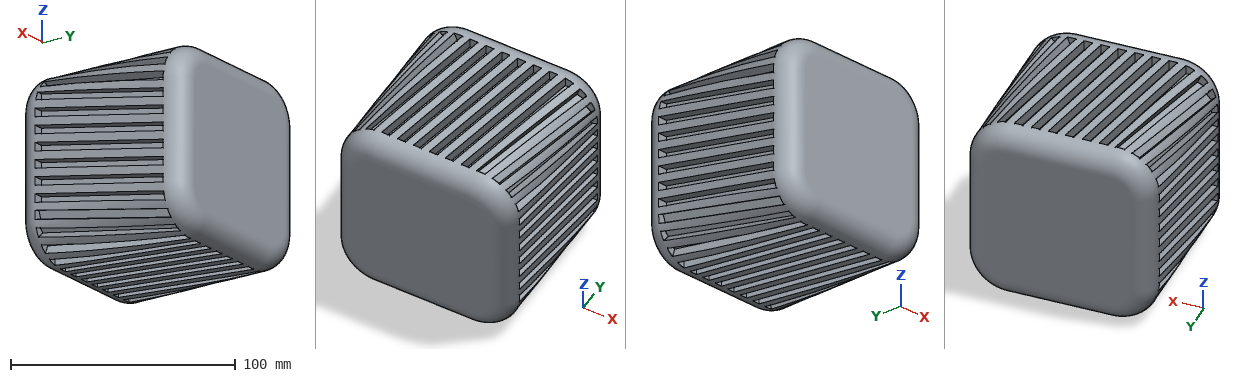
import cadquery as cq
import math

side = 90.0
corner_radius = 20.0
edge_fillet = 10.0

slot_count = 40
slot_depth = edge_fillet / 2
slot_angle = 10.9
clearance = 1.8

half_side = side / 2
flat_half = half_side - corner_radius
flat_length = 2 * flat_half
corner_arc = corner_radius * math.pi / 2
quarter_length = flat_length + corner_arc
slots_per_quarter = slot_count // 4
slot_pitch = quarter_length / slots_per_quarter
slot_run_width = slot_pitch / 2
slot_half_length = half_side - edge_fillet


def make_body():
    """Square bar along Y with rounded corners and filleted ends."""
    body = cq.Workplane("XY").box(side, side, side)
    body = body.edges("|Y").fillet(corner_radius)
    return body.faces("<Y or >Y").edges().fillet(edge_fillet)


def make_slot_cutter():
    """Slanted cutter centred on the top face, with its ends square to Y."""
    shift = slot_half_length * math.tan(math.radians(slot_angle))
    half_width = slot_run_width / 2
    outline = [
        (shift - half_width, slot_half_length),
        (shift + half_width, slot_half_length),
        (-shift + half_width, -slot_half_length),
        (-shift - half_width, -slot_half_length),
    ]
    return (
        cq.Workplane("XY", origin=(0, 0, half_side - slot_depth))
        .polyline(outline)
        .close()
        .extrude(slot_depth + clearance)
    )


def place_on_quarter(cutter, distance):
    """Move the cutter along the top flat from its -X end, then around the +X corner."""
    if distance <= flat_length:
        return cutter.translate((distance - flat_half, 0, 0))
    turn = math.degrees((distance - flat_length) / corner_radius)
    corner_axis_start = (flat_half, 0, flat_half)
    corner_axis_end = (flat_half, 1, flat_half)
    return cutter.translate((flat_half, 0, 0)).rotate(corner_axis_start, corner_axis_end, turn)


def cut_slots(body):
    """Cut the same run of slots into each quarter of the outline."""
    cutter = make_slot_cutter()
    for quarter in range(4):
        for index in range(slots_per_quarter):
            placed = place_on_quarter(cutter, index * slot_pitch)
            body = body.cut(placed.rotate((0, 0, 0), (0, 1, 0), quarter * 90))
    return body


result = cut_slots(make_body())